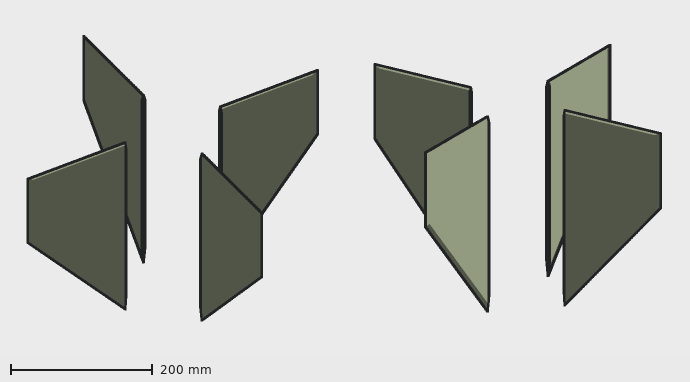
import cadquery as cq

TIP_RADIUS = 240.5
ROOT_RADIUS = 79.0
FIN_HEIGHT = 297.5
TIP_HEIGHT = 113.5
FIN_THICKNESS = 3.5
RIM_THICKNESS = 1.0
TOP_BEVEL = 4.5
TIP_BEVEL = 8.5
SWEPT_BEVEL = 11.5
LIP_THICKNESS = 6.3
LIP_WIDTH = 0.5
FIN_COUNT = 4

TIP_BOTTOM = FIN_HEIGHT - TIP_HEIGHT
SWEPT_SLOPE = TIP_BOTTOM / (TIP_RADIUS - ROOT_RADIUS)

LIP_BEVEL_RATIO = (LIP_THICKNESS - RIM_THICKNESS) / (FIN_THICKNESS - RIM_THICKNESS)
CREST_TIP = TIP_RADIUS - TIP_BEVEL * LIP_BEVEL_RATIO
CREST_TOP = FIN_HEIGHT - TOP_BEVEL * LIP_BEVEL_RATIO
CREST_BOTTOM = SWEPT_BEVEL * LIP_BEVEL_RATIO
CREST_TIP_BOTTOM = CREST_BOTTOM + SWEPT_SLOPE * (CREST_TIP - ROOT_RADIUS)

RIM_OUTLINE = [
    (ROOT_RADIUS, 0),
    (TIP_RADIUS, TIP_BOTTOM),
    (TIP_RADIUS, FIN_HEIGHT),
    (ROOT_RADIUS, FIN_HEIGHT),
]
CREST_OUTLINE = [
    (ROOT_RADIUS, CREST_BOTTOM),
    (CREST_TIP, CREST_TIP_BOTTOM),
    (CREST_TIP, CREST_TOP),
    (ROOT_RADIUS, CREST_TOP),
]


def points_at(outline, y):
    """Place an outline in the plane at the given Y."""
    return [cq.Vector(radius, y, height) for radius, height in outline]


def polygon_face(points):
    return cq.Face.makeFromWires(cq.Wire.makePolygon(points, close=True))


def make_bevelled_blank():
    """Blank as thick as the lip, bevelled along its top, outer and swept edges."""
    layers = [
        points_at(CREST_OUTLINE, -LIP_THICKNESS / 2),
        points_at(RIM_OUTLINE, -RIM_THICKNESS / 2),
        points_at(RIM_OUTLINE, RIM_THICKNESS / 2),
        points_at(CREST_OUTLINE, LIP_THICKNESS / 2),
    ]
    faces = [polygon_face(layers[0]), polygon_face(layers[-1])]

    for lower, upper in zip(layers, layers[1:]):
        for i in range(len(RIM_OUTLINE) - 1):
            faces.append(polygon_face([lower[i], lower[i + 1], upper[i + 1], upper[i]]))

    root_bottom = [layer[0] for layer in layers]
    root_top = [layer[-1] for layer in layers]
    faces.append(polygon_face(root_bottom + root_top[::-1]))

    return cq.Workplane(cq.Solid.makeSolid(cq.Shell.makeShell(faces)).fix())


def slab(width, thickness):
    """Full-height box that starts at the root edge, centred on the fin plane."""
    return (
        cq.Workplane()
        .box(width, thickness, FIN_HEIGHT, centered=(False, True, False))
        .translate((ROOT_RADIUS, 0, 0))
    )


def make_fin(angle):
    """Thin bevelled plate with a thicker lip along its root edge."""
    plate = slab(TIP_RADIUS - ROOT_RADIUS, FIN_THICKNESS)
    lip = slab(LIP_WIDTH, LIP_THICKNESS)
    fin = make_bevelled_blank().intersect(plate.union(lip))
    return fin.rotate((0, 0, 0), (0, 0, 1), angle)


fins = [make_fin(i * 360 / FIN_COUNT) for i in range(FIN_COUNT)]

result = cq.Compound.makeCompound([fin.val() for fin in fins])